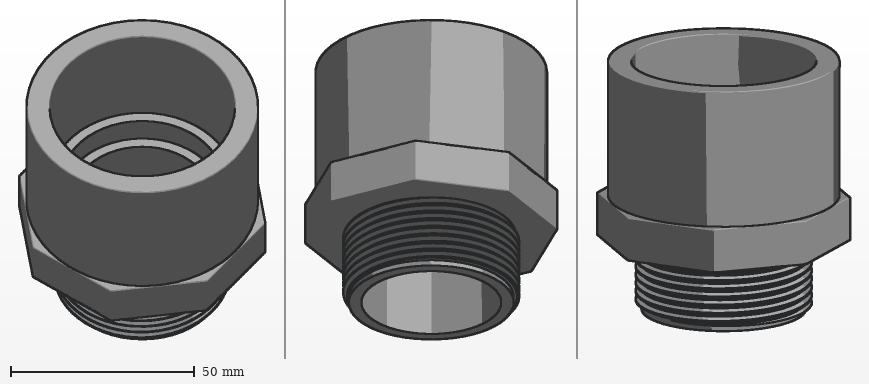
import cadquery as cq
import math

TOTAL_HEIGHT = 70.3
NUT_BOTTOM = 20.0
NUT_TOP = 32.2
EDGE_RADIUS = 0.5

NUT_ACROSS_FLATS = 64.0
NUT_SIDES = 8
CORNER_RADIUS = 1.05

BODY_DIAMETER = 63.05
SOCKET_MOUTH_DIAMETER = 50.3
SOCKET_FLOOR_DIAMETER = 50.0
SOCKET_DEPTH = 30.9

RECESS_DIAMETER = 44.0
RECESS_FLOOR = NUT_TOP
BORE_DIAMETER = 38.0

ROOT_DIAMETER = 44.85
CREST_DIAMETER = 47.95
SEVEN_TURN_RISE = 16.2
PITCH = SEVEN_TURN_RISE / 7
THREAD_START = 1.6
FLANK_ANGLE = 27.5
CREST_WIDTH = 0.3
ROOT_OVERLAP = 0.2


def disc(diameter, bottom, top):
    return cq.Workplane("XY").workplane(offset=bottom).circle(diameter / 2).extrude(top - bottom)


def make_nut():
    across_corners = NUT_ACROSS_FLATS / math.cos(math.pi / NUT_SIDES)
    nut = (
        cq.Workplane("XY")
        .workplane(offset=NUT_BOTTOM)
        .transformed(rotate=(0, 0, 180 / NUT_SIDES))
        .polygon(NUT_SIDES, across_corners)
        .extrude(NUT_TOP - NUT_BOTTOM)
    )
    nut = nut.edges("|Z").fillet(CORNER_RADIUS)
    return nut.faces("<Z or >Z").edges().fillet(EDGE_RADIUS)


def make_socket():
    floor = TOTAL_HEIGHT - SOCKET_DEPTH
    body = disc(BODY_DIAMETER, NUT_TOP - EDGE_RADIUS, TOTAL_HEIGHT)
    cavity = (
        cq.Workplane("XZ")
        .moveTo(0, floor)
        .lineTo(SOCKET_FLOOR_DIAMETER / 2, floor)
        .lineTo(SOCKET_MOUTH_DIAMETER / 2, TOTAL_HEIGHT)
        .lineTo(0, TOTAL_HEIGHT)
        .close()
        .revolve(360, (0, 0, 0), (0, 1, 0))
    )
    return body.cut(cavity).faces(">Z").edges().fillet(EDGE_RADIUS)


def make_thread():
    """Helical ridge, trimmed square at the start and ending inside the nut."""
    foot = ROOT_DIAMETER / 2 - ROOT_OVERLAP
    crest = CREST_DIAMETER / 2
    half_crest = CREST_WIDTH / 2
    half_foot = half_crest + (crest - foot) * math.tan(math.radians(FLANK_ANGLE))
    helix_bottom = THREAD_START - PITCH
    helix_height = NUT_BOTTOM + PITCH - helix_bottom
    helix = cq.Wire.makeHelix(PITCH, helix_height, foot, center=cq.Vector(0, 0, helix_bottom))
    profile = (
        cq.Workplane("XZ")
        .moveTo(foot, helix_bottom - half_foot)
        .lineTo(crest, helix_bottom - half_crest)
        .lineTo(crest, helix_bottom + half_crest)
        .lineTo(foot, helix_bottom + half_foot)
        .close()
    )
    ridge = profile.sweep(cq.Workplane(helix), isFrenet=True)
    ridge = ridge.rotate((0, 0, 0), (0, 0, 1), 180)
    return ridge.intersect(disc(NUT_ACROSS_FLATS, THREAD_START, NUT_BOTTOM + EDGE_RADIUS))


core = disc(ROOT_DIAMETER, 0, NUT_BOTTOM + EDGE_RADIUS).rotate((0, 0, 0), (0, 0, 1), 180)
shell = core.union(make_thread()).union(make_nut()).union(make_socket())

bore = disc(BORE_DIAMETER, 0, RECESS_FLOOR)
recess = disc(RECESS_DIAMETER, RECESS_FLOOR, TOTAL_HEIGHT - SOCKET_DEPTH)
result = shell.cut(bore).cut(recess)